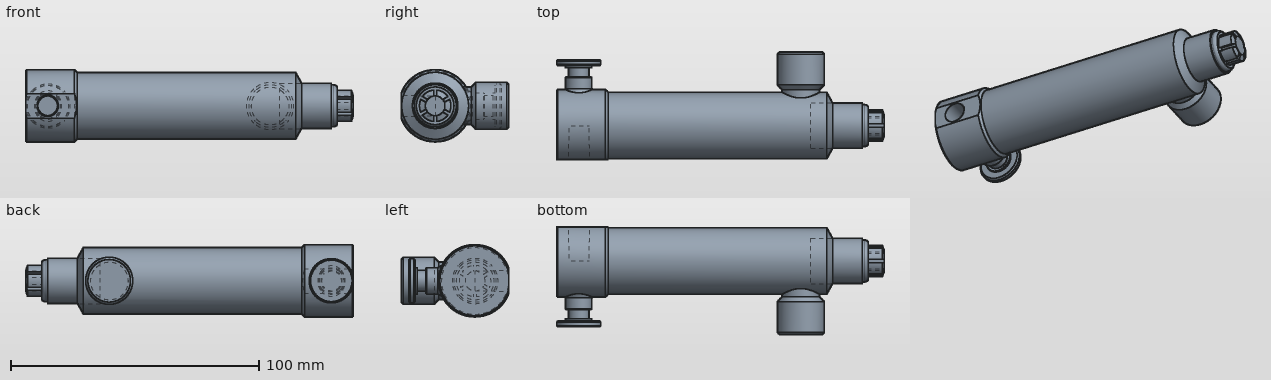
import cadquery as cq

total_length = 132.2
barrel_dia = 27.0

head_dia = 29.2
head_length = 19.7
head_edge_chamfer = 0.5
head_cone_length = (head_dia - barrel_dia) / 2
flat_y = -13.7
hole_mouth_dia = 8.6
hole_floor_dia = 7.9

button_dia = 17.8
button_x = button_dia / 2
button_top_y = 26.5
button_thickness = 2.5
button_top_chamfer = 0.5
button_bottom_chamfer = 0.7
button_boss_dia = 10.7
button_boss_height = 0.8
stem_dia = 8.3
collar_dia = 10.7
collar_top_y = 19.7
collar_chamfer = 0.4
collar_foot_y = 15.0
collar_foot_height = 2.1
collar_foot_flare = 1.0

shoulder_x = 108.9
nose_x = 111.3
nose_seat_x = 102.2
nose_dia = 18.4
nose_end_x = 123.3
nose_rim_dia = 17.0
nose_face_x = 125.7
nose_face_dia = 15.2
nose_rim_length = 0.7
tip_dia = 12.7
tip_end_dia = 7.9
tip_chamfer_length = 0.8
slot_count = 6
slot_width = 1.3
slot_floor_radius = tip_end_dia / 2

port_x = 98.5
port_dia = 19.0
port_top_y = 29.7
port_top_chamfer = 0.9
port_cone_y = 16.4
port_neck_dia = 15.2
port_neck_y = port_cone_y - (port_dia - port_neck_dia) / 2


def turned_on_x(profile):
    """Solid of revolution about X from (x, radius) points that start and end on the axis."""
    return cq.Workplane("XY").polyline(profile).close().revolve(360, (0, 0, 0), (1, 0, 0))


def turned_on_y(center_x, profile):
    """Solid of revolution about a +Y axis at center_x from (radius, y) points."""
    sketch = cq.Workplane("XY", origin=(center_x, 0, 0)).polyline(profile).close()
    return sketch.revolve(360, (0, 0, 0), (0, 1, 0))


def make_head_and_barrel():
    head_r = head_dia / 2
    barrel_r = barrel_dia / 2
    return turned_on_x([
        (0, 0),
        (0, head_r - head_edge_chamfer),
        (head_edge_chamfer, head_r),
        (head_length, head_r),
        (head_length + head_cone_length, barrel_r),
        (shoulder_x, barrel_r),
        (nose_x, nose_dia / 2),
        (nose_x, 0),
    ])


def make_button():
    button_r = button_dia / 2
    collar_r = collar_dia / 2
    button_bottom_y = button_top_y - button_thickness
    boss_bottom_y = button_bottom_y - button_boss_height
    return turned_on_y(button_x, [
        (0, button_top_y),
        (button_r - button_top_chamfer, button_top_y),
        (button_r, button_top_y - button_top_chamfer),
        (button_r, button_bottom_y + button_bottom_chamfer),
        (button_r - button_bottom_chamfer, button_bottom_y),
        (button_boss_dia / 2, button_bottom_y),
        (button_boss_dia / 2, boss_bottom_y),
        (stem_dia / 2, boss_bottom_y),
        (stem_dia / 2, collar_top_y),
        (collar_r - collar_chamfer, collar_top_y),
        (collar_r, collar_top_y - collar_chamfer),
        (collar_r, collar_foot_y),
        (collar_r + collar_foot_flare, collar_foot_y - collar_foot_height),
        (collar_r + collar_foot_flare, 0),
        (0, 0),
    ])


def make_port():
    port_r = port_dia / 2
    return turned_on_y(port_x, [
        (0, port_top_y),
        (port_r - port_top_chamfer, port_top_y),
        (port_r, port_top_y - port_top_chamfer),
        (port_r, port_cone_y),
        (port_neck_dia / 2, port_neck_y),
        (port_neck_dia / 2, 0),
        (0, 0),
    ])


def make_flat_cutter():
    flat_end_x = head_length + head_cone_length
    block = cq.Workplane("XY").box(
        flat_end_x, head_dia, head_dia, centered=(False, False, True)
    )
    return block.translate((0, flat_y - head_dia, 0))


def make_tapered_hole():
    return turned_on_y(button_x, [
        (0, 0),
        (hole_floor_dia / 2, 0),
        (hole_mouth_dia / 2, flat_y),
        (0, flat_y),
    ])


def make_nose_recess():
    mouth = cq.Workplane("YZ", origin=(nose_seat_x, 0, 0)).circle(nose_dia / 2)
    return mouth.extrude(nose_x - nose_seat_x)


def make_housing():
    """Head, barrel, push button and port in one piece, with a recess for the nose."""
    body = make_head_and_barrel().union(make_button()).union(make_port())
    return body.cut(make_flat_cutter()).cut(make_tapered_hole()).cut(make_nose_recess())


def make_turned_nose():
    rim_r = nose_rim_dia / 2
    tip_r = tip_dia / 2
    rim_end_x = nose_end_x + nose_rim_length
    profile = (
        cq.Workplane("XY")
        .moveTo(nose_seat_x, 0)
        .lineTo(nose_seat_x, nose_dia / 2)
        .lineTo(nose_end_x, nose_dia / 2)
        .lineTo(nose_end_x, rim_r)
        .lineTo(rim_end_x, rim_r)
        .tangentArcPoint((nose_face_x, nose_face_dia / 2), relative=False)
        .lineTo(nose_face_x, tip_r)
        .lineTo(total_length - tip_chamfer_length, tip_r)
        .lineTo(total_length, tip_end_dia / 2)
        .lineTo(total_length, 0)
        .close()
    )
    return profile.revolve(360, (0, 0, 0), (1, 0, 0))


def make_nose():
    """Nose that sits in the barrel, with a slotted tip."""
    body = make_turned_nose()
    slot = cq.Workplane("XY").box(
        total_length - nose_face_x, slot_width, tip_dia, centered=(False, True, False)
    ).translate((nose_face_x, 0, slot_floor_radius))
    for index in range(slot_count):
        angle = index * 360 / slot_count
        body = body.cut(slot.rotate((0, 0, 0), (1, 0, 0), angle))
    return body


housing = make_housing()
nose = make_nose()

result = cq.Compound.makeCompound([housing.val(), nose.val()])